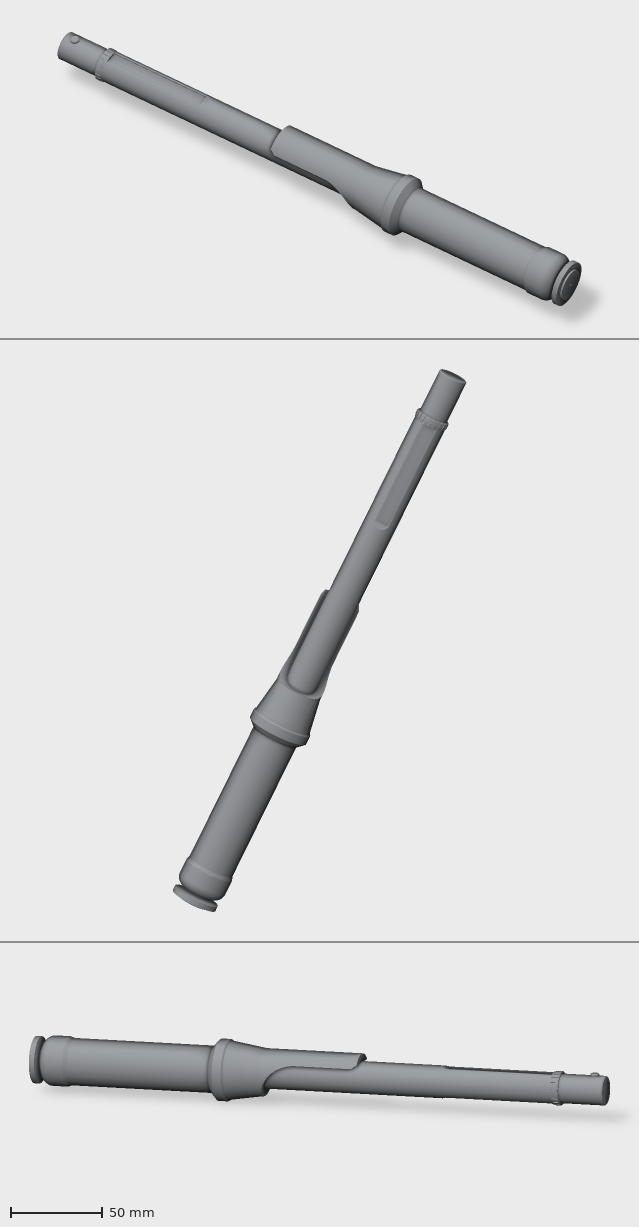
import cadquery as cq
import math


spigot_diameter = 16.25
spigot_length = 25.0
spigot_tip_chamfer = 0.5
collar_diameter = 19.0
collar_length = 4.8
collar_taper_length = 2.0
tube_diameter = 18.0

collar_notch_count = 20
collar_notch_width = 1.0
collar_notch_depth = 0.5

pin_diameter = 5.0
pin_x = 6.5
pin_top = 9.4
pin_chamfer = 0.5

flat_height = 7.95
ramp_start = 90.5
ramp_end = 93.5
recess_width = 7.0
recess_depth = 0.5
recess_end_margin = 1.0

cover_diameter = 26.4
cover_start = 139.7
cover_underside = 6.4
cover_bevel_length = 3.0
cover_bevel_height = 2.0
cover_sweep_radius = 20.0

cone_start = 194.8
cone_end = 214.5
cone_end_diameter = 32.6
flange_start = 215.4
flange_end = 220.5
flange_diameter = 34.25
grip_start = 224.3
grip_end = 304.8
grip_diameter = 26.0
end_cap_start = 307.0
end_cap_diameter = 27.7
dome_start = 315.3
dome_radius = 5.8
neck_length = 0.7
knob_diameter = 26.0
knob_cone_end = 323.2
knob_end = 326.2
knob_step_diameter = 18.0
knob_step_end = 327.3
overall_length = 328.0
centre_point_diameter = 1.5


def make_round_shaft():
    """Spigot, collar and tube turned about the X axis."""
    spigot_radius = spigot_diameter / 2
    collar_radius = collar_diameter / 2
    tube_radius = tube_diameter / 2
    collar_chamfer = collar_radius - tube_radius
    collar_end = spigot_length + collar_length
    return (
        cq.Workplane("XZ")
        .polyline([
            (0, 0),
            (0, spigot_radius - spigot_tip_chamfer),
            (spigot_tip_chamfer, spigot_radius),
            (spigot_length, spigot_radius),
            (spigot_length, tube_radius),
            (spigot_length + collar_chamfer, collar_radius),
            (collar_end - collar_taper_length, collar_radius),
            (collar_end, tube_radius),
            (cone_start, tube_radius),
            (cone_start, 0),
        ])
        .close()
        .revolve(360, (0, 0, 0), (1, 0, 0))
    )


def make_catch_pin():
    """Short upright pin with a chamfered top."""
    return (
        cq.Workplane("XY")
        .center(pin_x, 0)
        .circle(pin_diameter / 2)
        .extrude(pin_top)
        .faces(">Z")
        .chamfer(pin_chamfer)
    )


def make_collar_notch(index):
    """Straight notch along the collar, turned to its place around the X axis."""
    notch = (
        cq.Workplane("XY")
        .box(collar_length, collar_notch_width, collar_diameter, centered=(False, True, False))
        .translate((spigot_length, 0, collar_diameter / 2 - collar_notch_depth))
    )
    return notch.rotate((0, 0, 0), (1, 0, 0), (index + 0.5) * 360 / collar_notch_count)


def make_top_flat():
    """Material to remove for the ramped flat on the top of the tube and the recess in it."""
    collar_end = spigot_length + collar_length
    tube_radius = tube_diameter / 2
    flat = (
        cq.Workplane("XZ")
        .polyline([
            (collar_end, flat_height),
            (ramp_start, flat_height),
            (ramp_end, tube_radius),
            (collar_end, tube_radius),
        ])
        .close()
        .extrude(tube_radius, both=True)
    )
    recess_length = ramp_start - recess_end_margin - collar_end
    recess = (
        cq.Workplane("XY")
        .box(recess_length, recess_width, tube_radius, centered=(False, True, False))
        .translate((collar_end, 0, flat_height - recess_depth))
    )
    return flat, recess


def make_shaft():
    """Spigot and tube, with the collar, the catch pin and the two scale flats."""
    shaft = make_round_shaft().union(make_catch_pin())
    for index in range(collar_notch_count):
        shaft = shaft.cut(make_collar_notch(index))
    for cutter in make_top_flat():
        shaft = shaft.cut(cutter).cut(cutter.mirror("XY"))
    return shaft


def make_handle_blank():
    """Round handle from the front of the cover to the point on the end knob."""
    cover_radius = cover_diameter / 2
    grip_radius = grip_diameter / 2
    cap_radius = end_cap_diameter / 2
    flange_radius = flange_diameter / 2
    dome_end = dome_start + dome_radius
    neck_radius = cap_radius - dome_radius
    diagonal = dome_radius * math.sqrt(0.5)
    dome_middle = (dome_start + diagonal, neck_radius + diagonal)
    return (
        cq.Workplane("XZ")
        .moveTo(cover_start, 0)
        .lineTo(cover_start, cover_radius)
        .lineTo(cone_start, cover_radius)
        .lineTo(cone_end, cone_end_diameter / 2)
        .lineTo(flange_start, flange_radius)
        .lineTo(flange_end, flange_radius)
        .lineTo(grip_start, grip_radius)
        .lineTo(grip_end, grip_radius)
        .lineTo(end_cap_start, cap_radius)
        .lineTo(dome_start, cap_radius)
        .threePointArc(dome_middle, (dome_end, neck_radius))
        .lineTo(dome_end + neck_length, neck_radius)
        .lineTo(knob_cone_end, knob_diameter / 2)
        .lineTo(knob_end, knob_diameter / 2)
        .lineTo(knob_end, knob_step_diameter / 2)
        .lineTo(knob_step_end, knob_step_diameter / 2)
        .lineTo(knob_step_end, centre_point_diameter / 2)
        .lineTo(overall_length, 0)
        .close()
        .revolve(360, (0, 0, 0), (1, 0, 0))
    )


def make_cover_relief():
    """Material to remove below the cover, swept down in an arc to the front of the cone."""
    sweep_start = cone_start - cover_sweep_radius
    sweep_bottom = cover_underside - cover_sweep_radius
    sweep_diagonal = cover_sweep_radius * math.sqrt(0.5)
    sweep_middle = (sweep_start + sweep_diagonal, sweep_bottom + sweep_diagonal)
    return (
        cq.Workplane("XZ")
        .moveTo(cover_start, cover_underside + cover_bevel_height)
        .lineTo(cover_start + cover_bevel_length, cover_underside)
        .lineTo(sweep_start, cover_underside)
        .threePointArc(sweep_middle, (cone_start, sweep_bottom))
        .lineTo(cover_start, sweep_bottom)
        .close()
        .extrude(cover_diameter, both=True)
    )


def make_handle():
    """Handle whose cover wraps the top of the tube."""
    tube_seat = (
        cq.Workplane("YZ")
        .workplane(offset=cover_start)
        .circle(tube_diameter / 2)
        .extrude(cone_start - cover_start)
    )
    return make_handle_blank().cut(make_cover_relief()).cut(tube_seat)


shaft = make_shaft()
handle = make_handle()
result = cq.Compound.makeCompound([shaft.val(), handle.val()])